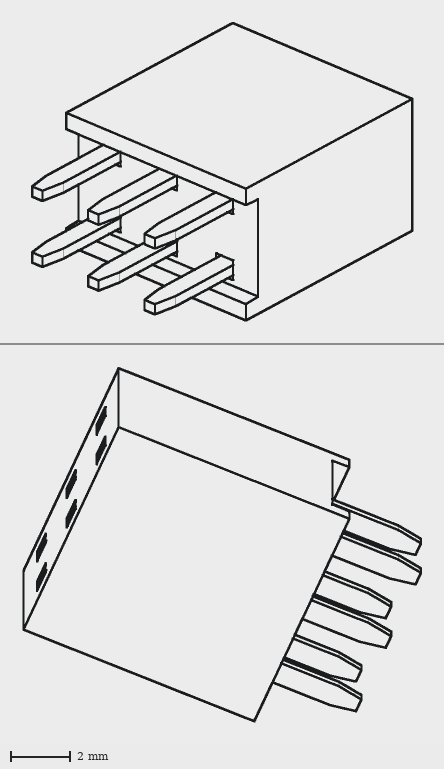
import cadquery as cq

total_length = 11.71
housing_length = 8.51
housing_width = 8.13
housing_height = 5.08

channel_depth = 0.63
lip_tip_thickness = 0.63
lip_root_thickness = 0.67

columns = 3
rows = 2
pitch = 2.54
pin_width = 0.76
pin_thickness = 0.4
tip_width = 0.47
tip_length = 0.9

hole_size = pin_width

housing_front = 0.0
housing_back = housing_front + housing_length
pin_tip = housing_back - total_length

pin_positions = [
    ((column - (columns - 1) / 2) * pitch, (row - (rows - 1) / 2) * pitch)
    for row in range(rows)
    for column in range(columns)
]


def make_channel():
    """Slot along X whose mouth is slightly wider than its floor."""
    mouth_half = housing_height / 2 - lip_tip_thickness
    floor_half = housing_height / 2 - lip_root_thickness
    channel_floor = housing_front + channel_depth
    return (
        cq.Workplane("YZ")
        .polyline([
            (housing_front, -mouth_half),
            (channel_floor, -floor_half),
            (channel_floor, floor_half),
            (housing_front, mouth_half),
        ])
        .close()
        .extrude(housing_width / 2, both=True)
    )


def make_pin_holes():
    """Square holes running through the full length of the housing."""
    return (
        cq.Workplane("XZ", origin=(0, housing_back, 0))
        .pushPoints(pin_positions)
        .rect(hole_size, hole_size)
        .extrude(housing_length)
    )


def make_housing():
    block = cq.Workplane("XY").box(
        housing_width, housing_length, housing_height, centered=(True, False, True)
    ).translate((0, housing_front, 0))
    return block.cut(make_channel()).cut(make_pin_holes())


def make_pin(x, z):
    """Flat pin, flush with the back of the housing, with both sides tapered at the tip."""
    taper_start = pin_tip + tip_length
    return (
        cq.Workplane("XY")
        .polyline([
            (-pin_width / 2, housing_back),
            (-pin_width / 2, taper_start),
            (-tip_width / 2, pin_tip),
            (tip_width / 2, pin_tip),
            (pin_width / 2, taper_start),
            (pin_width / 2, housing_back),
        ])
        .close()
        .extrude(pin_thickness / 2, both=True)
        .translate((x, 0, z))
    )


housing = make_housing()
pins = [make_pin(x, z) for x, z in pin_positions]

result = cq.Compound.makeCompound([housing.val(), *[pin.val() for pin in pins]])